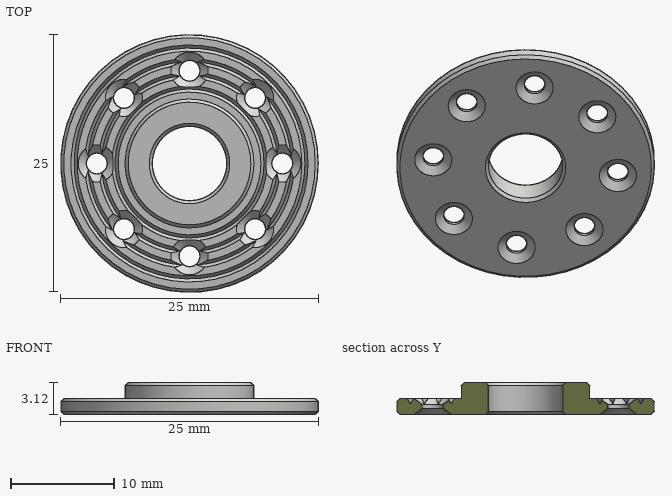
import cadquery as cq
import math

flange_diameter = 25.0
hub_diameter = 12.5
bore_diameter = 7.2
total_height = 3.12
flange_thickness = 1.58
edge_chamfer = 0.3

hole_count = 8
hole_diameter = 2.0
hole_circle_diameter = 18.0
countersink_diameter = 3.6
countersink_depth = 0.6

groove_count = 4
first_groove_radius = 7.22
groove_pitch = 1.32
groove_width = 0.6
groove_angle = 60.0
groove_depth = groove_width / 2 / math.tan(math.radians(groove_angle / 2))


def revolved(points):
    """Solid of revolution about Z from a closed (radius, height) outline."""
    return cq.Workplane("XZ").polyline(points).close().revolve(360, (0, 0, 0), (0, 1, 0))


def chamfered_disc(diameter, bottom, top):
    """Disc between two heights with both rims chamfered."""
    disc = cq.Workplane("XY", origin=(0, 0, bottom)).circle(diameter / 2).extrude(top - bottom)
    return disc.edges().chamfer(edge_chamfer)


def bore_cutter():
    """Through bore that widens by the edge chamfer at both ends."""
    radius = bore_diameter / 2
    mouth_radius = radius + edge_chamfer
    return revolved([
        (0, 0),
        (mouth_radius, 0),
        (radius, edge_chamfer),
        (radius, total_height - edge_chamfer),
        (mouth_radius, total_height),
        (0, total_height),
    ])


def groove_cutter(radius):
    """Ring with a V section, point down, centred on the given radius."""
    return revolved([
        (radius - groove_width / 2, flange_thickness),
        (radius, flange_thickness - groove_depth),
        (radius + groove_width / 2, flange_thickness),
    ])


def bolt_hole_cutters():
    """Ring of through holes with a countersink at each end."""
    radius = hole_diameter / 2
    mouth_radius = countersink_diameter / 2
    hole = revolved([
        (0, 0),
        (mouth_radius, 0),
        (radius, countersink_depth),
        (radius, flange_thickness - countersink_depth),
        (mouth_radius, flange_thickness),
        (0, flange_thickness),
    ]).val()
    return (
        cq.Workplane("XY")
        .polarArray(hole_circle_diameter / 2, 0, 360, hole_count)
        .eachpoint(lambda location: hole.moved(location))
    )


flange = chamfered_disc(flange_diameter, 0, flange_thickness)
hub = chamfered_disc(hub_diameter, edge_chamfer, total_height)
result = flange.union(hub).cut(bore_cutter())

for index in range(groove_count):
    result = result.cut(groove_cutter(first_groove_radius + index * groove_pitch))

result = result.cut(bolt_hole_cutters())